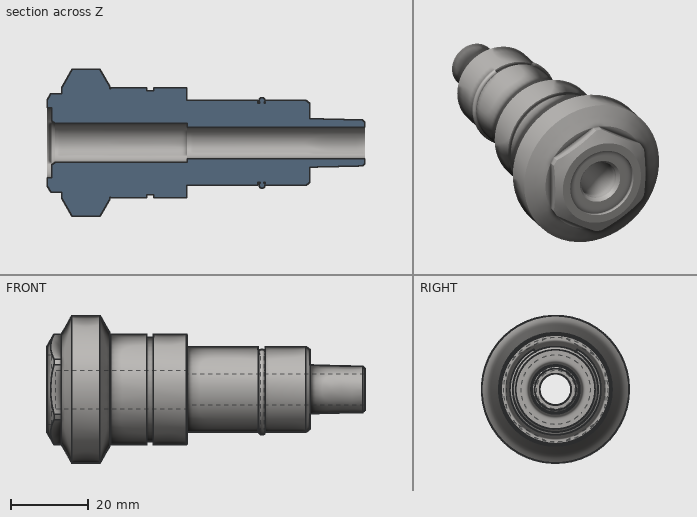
import cadquery as cq
import math

total_length = 82.0

hex_across_flats = 25.4
hex_length = 3.8
hex_face_radius = 22.1 / 2
hex_corner_radius = 28.5 / 2
bevel_slope = math.tan(math.radians(60))

flange_radius = 38.1 / 2
flange_rim_start = 6.5
flange_rim_end = 13.7
flange_foot_radius = 14.6

body_radius = 28.5 / 2
body_end = 36.2
body_edge_chamfer = 0.25
body_groove_start = 25.8
body_groove_width = 1.7
body_groove_radius = 26.9 / 2

shaft_radius = 22.1 / 2
shaft_end = 67.85
shaft_chamfer_length = 1.1
shaft_chamfer_depth = 0.8
ring_groove_start = 54.5
ring_groove_width = 1.8
ring_groove_radius = 20.5 / 2

wire_radius = 0.8
ring_outer_radius = 11.7
ring_gap_angle = 57.0

tip_base_radius = 6.3
tip_end_radius = 6.0
tip_chamfer = 0.65

recess_radius = 17.9 / 2
recess_depth = 1.15
bore_mouth_radius = 5.7
bore_chamfer_depth = 1.0
bore_radius = 9.9 / 2
bore_depth = body_end
through_radius = 8.0 / 2


def revolve_about_x(outline):
    """Turn a closed (x, radius) outline into a solid of revolution about X."""
    return cq.Workplane("XY").polyline(outline).close().revolve(360, (0, 0, 0), (1, 0, 0))


def make_hex_head():
    """Hexagon with corners toward +Z and -Z, its corners rounded and bevelled."""
    bevel_length = (hex_corner_radius - hex_face_radius) / bevel_slope
    corner_diameter = hex_across_flats / math.cos(math.pi / 6)
    prism = (
        cq.Workplane("YZ")
        .transformed(rotate=(0, 0, 90))
        .polygon(6, corner_diameter)
        .extrude(hex_length)
    )
    envelope = revolve_about_x([
        (0, 0),
        (0, hex_face_radius),
        (bevel_length, hex_corner_radius),
        (hex_length, hex_corner_radius),
        (hex_length, 0),
    ])
    return prism.intersect(envelope)


def make_turned_body():
    """Flange, grooved body, grooved shaft and tapered tip as one revolution."""
    flange_end = flange_rim_end + (flange_radius - flange_foot_radius) / bevel_slope
    body_groove_end = body_groove_start + body_groove_width
    ring_groove_end = ring_groove_start + ring_groove_width
    return revolve_about_x([
        (hex_length, 0),
        (hex_length, body_radius),
        (flange_rim_start, flange_radius),
        (flange_rim_end, flange_radius),
        (flange_end, flange_foot_radius),
        (flange_end, body_radius - body_edge_chamfer),
        (flange_end + body_edge_chamfer, body_radius),
        (body_groove_start, body_radius),
        (body_groove_start, body_groove_radius),
        (body_groove_end, body_groove_radius),
        (body_groove_end, body_radius),
        (body_end - body_edge_chamfer, body_radius),
        (body_end, body_radius - body_edge_chamfer),
        (body_end, shaft_radius),
        (ring_groove_start, shaft_radius),
        (ring_groove_start, ring_groove_radius),
        (ring_groove_end, ring_groove_radius),
        (ring_groove_end, shaft_radius),
        (shaft_end - shaft_chamfer_length, shaft_radius),
        (shaft_end, shaft_radius - shaft_chamfer_depth),
        (shaft_end, tip_base_radius),
        (total_length - tip_chamfer, tip_end_radius),
        (total_length, tip_end_radius - tip_chamfer),
        (total_length, 0),
    ])


def make_snap_ring():
    """Round wire seated against the tip-side groove wall, its gap centred on +Z."""
    wire_center_radius = ring_outer_radius - wire_radius
    ring_x = ring_groove_start + ring_groove_width - wire_radius
    return (
        cq.Workplane("XY")
        .center(ring_x, wire_center_radius)
        .circle(wire_radius)
        .revolve(360 - ring_gap_angle, (0, -wire_center_radius), (1, -wire_center_radius))
        .rotate((0, 0, 0), (1, 0, 0), 90 + ring_gap_angle / 2)
    )


def make_bore():
    """Shallow face recess, chamfered counterbore and through hole."""
    bore_start = recess_depth + bore_chamfer_depth
    return revolve_about_x([
        (0, 0),
        (0, recess_radius),
        (recess_depth, recess_radius),
        (recess_depth, bore_mouth_radius),
        (bore_start, bore_radius),
        (bore_depth, bore_radius),
        (bore_depth, through_radius),
        (total_length, through_radius),
        (total_length, 0),
    ])


result = make_turned_body().union(make_hex_head()).union(make_snap_ring()).cut(make_bore())